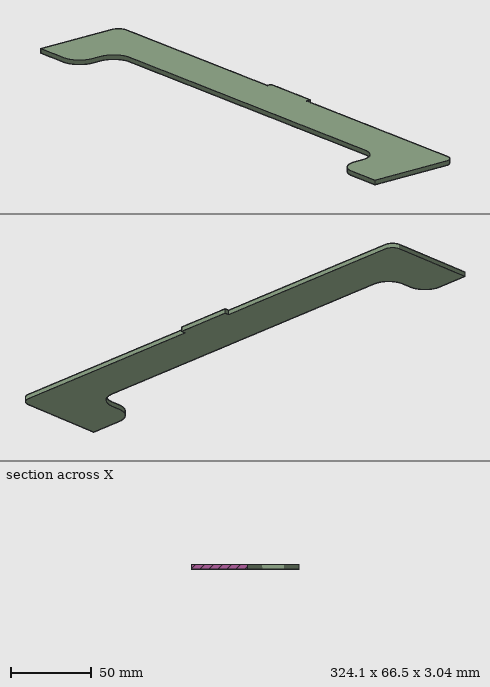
import cadquery as cq

length = 324.12
thickness = 3.04
overall_depth = 66.54

tab_width = 38.1
body_depth = 63.5
tab_height = overall_depth - body_depth

notch_width = 254.0
notch_depth = body_depth / 2

notch_radius = 12.7
back_corner_radius = notch_radius / 2


def make_block(width, depth):
    """Plate-thick block centred on X, with its front edge on Y = 0."""
    return cq.Workplane("XY").box(width, depth, thickness, centered=(True, False, False))


def make_body():
    """Rectangular plate with its two back corners rounded."""
    return make_block(length, body_depth).edges("|Z and >Y").fillet(back_corner_radius)


def cut_notch(plate):
    """Cut the front notch, then round its inner corners and the leg tips."""
    notched = plate.cut(make_block(notch_width, notch_depth))
    for corner_x in (-notch_width / 2, notch_width / 2):
        for corner_y in (0, notch_depth):
            corner = (corner_x, corner_y, thickness / 2)
            corner_edge = cq.selectors.NearestToPointSelector(corner)
            notched = notched.edges(corner_edge).fillet(notch_radius)
    return notched


def make_tab():
    """Square-cornered tab standing out from the back edge."""
    return make_block(tab_width, tab_height).translate((0, body_depth, 0))


result = cut_notch(make_body()).union(make_tab())